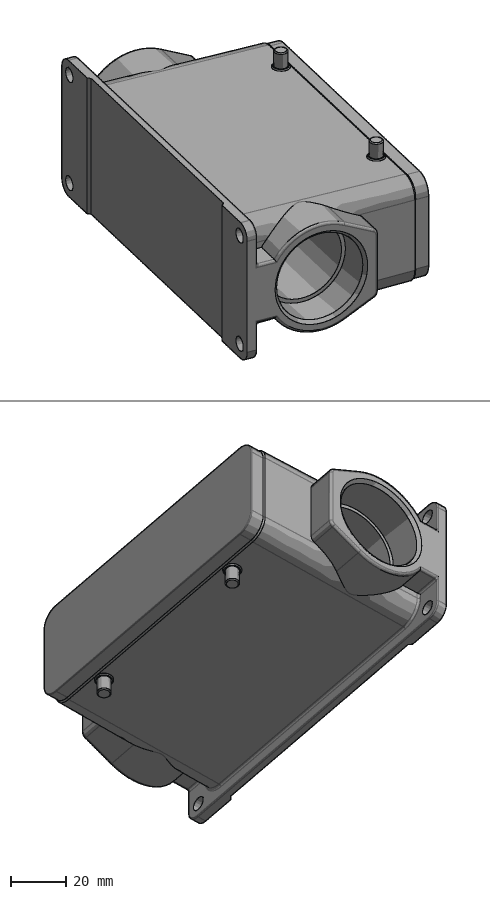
import cadquery as cq
import math

LENGTH = 144.0
FLANGE_HEIGHT = 56.5
FLANGE_THICKNESS = 4.0
FLANGE_CORNER_RADIUS = 5.2
FLANGE_EDGE_RADIUS = 0.5
MOUNTING_HOLE_DIAMETER = 5.6
MOUNTING_HOLE_INSET_X = 5.9
MOUNTING_HOLE_INSET_Z = 5.8

RELIEF_LENGTH = 104.8
RELIEF_DEPTH = 1.2

DEPTH = 80.5
HOUSING_LENGTH = 122.7
HOUSING_HEIGHT = 45.6
HOUSING_CORNER_RADIUS = 8.2
HOUSING_DRAFT = 0.8
COLLAR_LENGTH = 119.8
COLLAR_HEIGHT = 42.6
COLLAR_CORNER_RADIUS = 6.9
COLLAR_DEPTH = 5.3
COLLAR_EDGE_RADIUS = 0.3
SHOULDER_BEVEL_DEPTH = 0.7
FOOT_RADIUS = 0.9

ENTRY_Y = 30.2
ENTRY_RADIUS = 22.3
ENTRY_FRONT_Y = 53.4
ENTRY_SLOPE_ANGLE = 26.0
ENTRY_INNER_X = 51.8
ENTRY_FRONT_CORNER_RADIUS = 2.6
ENTRY_RIM_RADIUS = 1.0
NECK_HALF_HEIGHT = 12.1
BORE_RADIUS = 16.0
COUNTERBORE_RADIUS = 17.5
COUNTERBORE_DEPTH = 14.8
COUNTERBORE_CHAMFER = 1.3

PIN_SPACING = 74.0
PIN_Y = 71.0
PIN_RADIUS = 2.6
PIN_TIP_Z = 28.8
PIN_CHAMFER = 0.5
PIN_BASE_RADIUS = 3.5
PIN_BASE_Z = 22.3
PIN_BASE_CHAMFER = 0.5

SELECTION_MARGIN = 0.01


def make_flange():
    """Rounded plate with softened front edges."""
    plate = cq.Workplane("ZX").rect(FLANGE_HEIGHT, LENGTH).extrude(FLANGE_THICKNESS)
    plate = plate.edges("|Y").fillet(FLANGE_CORNER_RADIUS)
    return plate.faces(">Y").edges().fillet(FLANGE_EDGE_RADIUS)


def rounded_outline(base_y, height, length, radius):
    """Rounded rectangle lying across Y, ready to be extruded towards +Y."""
    outline = cq.Sketch().rect(height, length).vertices().fillet(radius)
    return cq.Workplane("ZX", origin=(0, base_y, 0)).placeSketch(outline)


def make_housing():
    """Drafted box with a bevelled shoulder stepping in to the collar."""
    shoulder_y = DEPTH - COLLAR_DEPTH
    box = rounded_outline(0, HOUSING_HEIGHT, HOUSING_LENGTH, HOUSING_CORNER_RADIUS)
    box = box.extrude(shoulder_y, taper=HOUSING_DRAFT)
    draft_inset = shoulder_y * math.tan(math.radians(HOUSING_DRAFT))
    shoulder_inset = (HOUSING_HEIGHT - COLLAR_HEIGHT) / 2 - draft_inset
    box = box.faces(">Y").edges().chamfer(SHOULDER_BEVEL_DEPTH, shoulder_inset)
    collar = rounded_outline(ENTRY_Y, COLLAR_HEIGHT, COLLAR_LENGTH, COLLAR_CORNER_RADIUS)
    collar = collar.extrude(DEPTH - ENTRY_Y)
    collar = collar.faces(">Y").edges().fillet(COLLAR_EDGE_RADIUS)
    return box.union(collar)


def make_entry():
    """Boss on the -X end, outlined in the YZ plane."""
    slope = math.radians(ENTRY_SLOPE_ANGLE)
    tangent_y = ENTRY_Y + ENTRY_RADIUS * math.sin(slope)
    tangent_z = ENTRY_RADIUS * math.cos(slope)
    front_z = tangent_z - (ENTRY_FRONT_Y - tangent_y) * math.tan(slope)
    neck_y = ENTRY_Y - math.sqrt(ENTRY_RADIUS**2 - NECK_HALF_HEIGHT**2)
    boss = (
        cq.Workplane("YZ", origin=(-LENGTH / 2, 0, 0))
        .moveTo(FLANGE_THICKNESS / 2, -NECK_HALF_HEIGHT)
        .lineTo(neck_y, -NECK_HALF_HEIGHT)
        .threePointArc((ENTRY_Y, -ENTRY_RADIUS), (tangent_y, -tangent_z))
        .lineTo(ENTRY_FRONT_Y, -front_z)
        .lineTo(ENTRY_FRONT_Y, front_z)
        .lineTo(tangent_y, tangent_z)
        .threePointArc((ENTRY_Y, ENTRY_RADIUS), (neck_y, NECK_HALF_HEIGHT))
        .lineTo(FLANGE_THICKNESS / 2, NECK_HALF_HEIGHT)
        .close()
        .extrude(LENGTH / 2 - ENTRY_INNER_X)
    )
    boss = boss.faces(">Y").edges("|X").fillet(ENTRY_FRONT_CORNER_RADIUS)
    rim = boss.faces("<X").edges("not(<Y)")
    return rim.fillet(ENTRY_RIM_RADIUS)


def add_foot_fillet(body):
    """Round the inner corner where the housing and the necks meet the front of the flange."""
    half_height = FLANGE_HEIGHT / 2 - FLANGE_EDGE_RADIUS - FOOT_RADIUS
    near_flange = cq.selectors.BoxSelector(
        (-LENGTH, FLANGE_THICKNESS - SELECTION_MARGIN, -half_height),
        (LENGTH, FLANGE_THICKNESS + SELECTION_MARGIN, half_height),
        boundingbox=True,
    )
    return body.edges(near_flange).fillet(FOOT_RADIUS)


def make_pin():
    """Upright chamfered pin on a wider round base, centred on the Z axis."""
    pin = cq.Workplane("XY").circle(PIN_RADIUS).extrude(PIN_TIP_Z)
    pin = pin.faces(">Z").chamfer(PIN_CHAMFER)
    base = cq.Workplane("XY").circle(PIN_BASE_RADIUS).extrude(PIN_BASE_Z)
    base = base.faces(">Z").chamfer(PIN_BASE_CHAMFER)
    return pin.union(base)


def cut_bore(body):
    """Bore along X through both entries, counterbored and chamfered at each end."""
    bore = cq.Workplane("YZ", origin=(-LENGTH / 2, ENTRY_Y, 0)).circle(BORE_RADIUS).extrude(LENGTH)
    counterbore = cq.Workplane("YZ", origin=(-LENGTH / 2, ENTRY_Y, 0)).circle(COUNTERBORE_RADIUS)
    counterbore = counterbore.extrude(COUNTERBORE_DEPTH)
    mouth = cq.Solid.makeCone(
        COUNTERBORE_RADIUS + COUNTERBORE_CHAMFER, COUNTERBORE_RADIUS, COUNTERBORE_CHAMFER,
        pnt=cq.Vector(-LENGTH / 2, ENTRY_Y, 0), dir=cq.Vector(1, 0, 0))
    end_cut = counterbore.union(cq.Workplane(mouth))
    return body.cut(bore).cut(end_cut).cut(end_cut.mirror("YZ"))


def cut_mounting_holes(body):
    """One through hole near each corner of the flange."""
    spacing_x = LENGTH - 2 * MOUNTING_HOLE_INSET_X
    spacing_z = FLANGE_HEIGHT - 2 * MOUNTING_HOLE_INSET_Z
    holes = (
        cq.Workplane("ZX")
        .rarray(spacing_z, spacing_x, 2, 2)
        .circle(MOUNTING_HOLE_DIAMETER / 2)
        .extrude(FLANGE_THICKNESS)
    )
    return body.cut(holes)


def cut_back_relief(body):
    """Trapezoidal channel over the full height of the flange back."""
    outer = RELIEF_LENGTH / 2
    inner = outer - RELIEF_DEPTH
    corners = [(-outer, 0), (-inner, RELIEF_DEPTH), (inner, RELIEF_DEPTH), (outer, 0)]
    relief = cq.Workplane("XY").polyline(corners).close().extrude(FLANGE_HEIGHT / 2, both=True)
    return body.cut(relief)


entry = make_entry()
body = make_housing().union(entry).union(entry.mirror("YZ"))
body = add_foot_fillet(body.union(make_flange()))
pin = make_pin()
for x in (-PIN_SPACING / 2, PIN_SPACING / 2):
    upper_pin = pin.translate((x, PIN_Y, 0))
    body = body.union(upper_pin).union(upper_pin.mirror("XY"))
body = cut_bore(body)
body = cut_mounting_holes(body)
body = cut_back_relief(body)

result = body